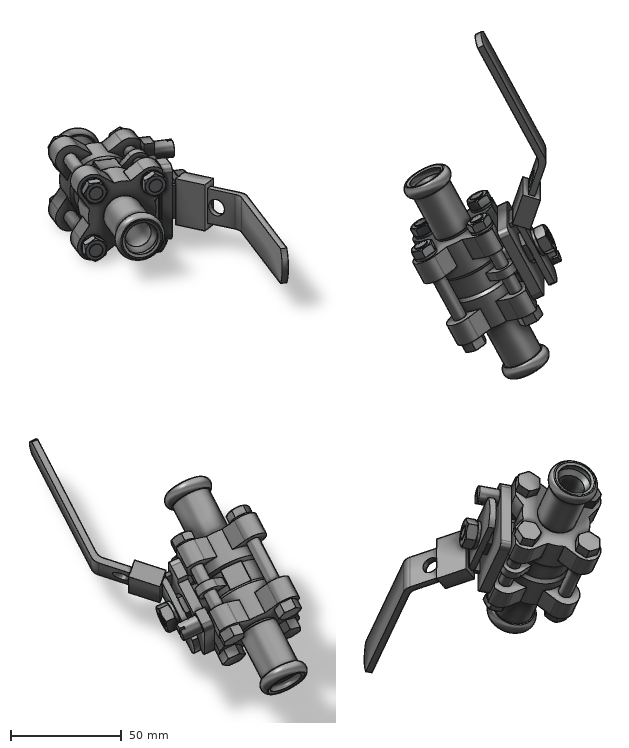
import math

import cadquery as cq


tube_half_length = 52.0
tube_dia = 18.41
bead_width = 6.0
bead_dia = 23.0
bead_side_dia = 19.8
mouth_dia = 18.41
lip_dia = 15.6
lip_depth = 0.5
groove_dia = 18.0
groove_end_dia = 17.18
groove_end_depth = 4.0
taper_end_depth = 5.9
bore_dia = 12.5
neck_dia = 17.18
neck_length = 1.1

cap_end = 22.2
cap_inner = 4.9
boss_thickness = 10.8
cap_dia = 32.0
bolt_circle_radius = 20.0
bolt_offset = bolt_circle_radius / math.sqrt(2)
boss_radius = 7.0
cap_top_flat = 19.1
arm_taper = 10.0
arm_root = 12.0

centre_radius = 14.5
cap_chamfer = cap_dia / 2 - centre_radius
pad_side = 10.5
pad_top = 14.9
lug_width = 4.2
lug_radius = 5.5
lug_taper = 0.0

bolt_dia = 6.35
bolt_head_height = 5.0
bolt_hex = 10.0
bolt_washer_dia = 10.8
bolt_washer_thickness = 1.2
bolt_nut_height = 4.2
bolt_tip = 0.5
hex_chamfer_angle = 30.0
bolt_head_face_dia = 10.8
bolt_nut_face_dia = 9.6

collar_dia = 17.18
collar_base = 13.0
plate_bottom = 19.9
plate_thickness = 5.0
plate_top = plate_bottom + plate_thickness
plate_side = 37.0
plate_corner_radius = 3.0
notch_floor = 12.5

stem_dia = 9.0
stem_tip_dia = 7.0
stem_tip_flats = 5.0
stem_tip_top = 37.5
lower_nut_hex = 14.0
upper_nut_hex = 12.0
upper_nut_height = 5.2
washer_dia = 12.8
washer_thickness = 1.4

stop_offset = 12.8
stop_dia = 8.3
stop_top = 34.4
stop_shank_dia = 5.0
stop_shank_bottom = 19.3
slot_width = 1.0
slot_depth = 2.3

lever_thickness = 3.0
lever_width = 17.2
lever_low = 27.6
lever_high = 51.0
lever_left = -20.0
lever_right = 101.95
lever_rise_start = 14.0
lever_slope = 45.0
lever_bend_radius = 6.0
lever_end_radius = 16.0
lock_hole_dia = 8.0
lock_hole_offset = 12.0
sleeve_length = 15.0
sleeve_thickness = 8.4
sleeve_width = 22.8
sleeve_x = 19.4
lock_tab_x = 15.9
lock_tab_thickness = 2.0
lock_tab_width = 16.4
lock_tab_bottom = 19.4


def disc_x(dia, start, end):
    """Cylinder along X."""
    return cq.Workplane("YZ", origin=(start, 0, 0)).circle(dia / 2).extrude(end - start)


def rod_y(dia, start, end, x=0, z=0):
    """Cylinder along Y."""
    return cq.Workplane("XZ", origin=(x, start, z)).circle(dia / 2).extrude(start - end)


def hexagon(across_flats, height, face_dia, both_ends=False):
    """Hexagon along +Z with corners on X, its far end (or both ends) chamfered to a round face."""
    corner_dia = across_flats / math.cos(math.radians(30))
    inset = (corner_dia - face_dia) / 2
    drop = inset * math.tan(math.radians(hex_chamfer_angle))
    blank = cq.Workplane("XY").circle(corner_dia / 2).extrude(height)
    chamfered_faces = "<Z or >Z" if both_ends else ">Z"
    blank = blank.faces(chamfered_faces).edges().chamfer(drop, inset)
    return cq.Workplane("XY").polygon(6, corner_dia).extrude(height).intersect(blank)


def arm(radius, taper_angle, start, length):
    """Arm in the YZ plane, widening inwards from a bolt boss in the +Y +Z quadrant."""
    taper = math.radians(taper_angle)
    touch = (bolt_circle_radius + radius * math.sin(taper), radius * math.cos(taper))
    root_width = touch[1] + (touch[0] - arm_root) * math.tan(taper)
    web = (
        cq.Workplane("YZ", origin=(start, 0, 0))
        .polyline([(arm_root, -root_width), (touch[0], -touch[1]), touch, (arm_root, root_width)])
        .close()
        .extrude(length)
    )
    boss_plane = cq.Workplane("YZ", origin=(start, bolt_circle_radius, 0))
    boss = boss_plane.circle(radius).extrude(length)
    return web.union(boss).rotate((0, 0, 0), (1, 0, 0), 45)


def tube_end():
    """Beaded tube with its neck, on the -X side."""
    end = -tube_half_length
    bead_end = end + bead_width
    neck_start = -cap_end - neck_length
    profile = (
        cq.Workplane("XY")
        .moveTo(end, 0)
        .lineTo(end, bead_side_dia / 2)
        .threePointArc((end + bead_width / 2, bead_dia / 2), (bead_end, bead_side_dia / 2))
        .lineTo(bead_end, tube_dia / 2)
        .lineTo(neck_start, tube_dia / 2)
        .lineTo(neck_start, neck_dia / 2)
        .lineTo(-cap_end, neck_dia / 2)
        .lineTo(-cap_end, 0)
        .close()
    )
    return profile.revolve(360, (0, 0, 0), (1, 0, 0))


def tube_socket():
    """Lipped mouth with a round groove and a taper down to the bore, cut into the -X tube end."""
    end = -tube_half_length
    lip = end + lip_depth
    groove_end = end + groove_end_depth
    taper_end = end + taper_end_depth
    profile = (
        cq.Workplane("XY")
        .moveTo(end, 0)
        .lineTo(end, mouth_dia / 2)
        .lineTo(lip, lip_dia / 2)
        .threePointArc(((lip + groove_end) / 2, groove_dia / 2), (groove_end, groove_end_dia / 2))
        .lineTo(taper_end, bore_dia / 2)
        .lineTo(taper_end, 0)
        .close()
    )
    return profile.revolve(360, (0, 0, 0), (1, 0, 0))


def end_cap():
    """Round cap with four bolt arms, on the -X side."""
    cap = disc_x(cap_dia, -cap_end, -cap_inner).faces(">X").chamfer(cap_chamfer)
    for quarter in range(4):
        bolt_arm = arm(boss_radius, arm_taper, -cap_end, boss_thickness)
        cap = cap.union(bolt_arm.rotate((0, 0, 0), (1, 0, 0), 90 * quarter))
    trim = cq.Workplane("XY").box(2 * cap_end, cap_dia, 2 * cap_dia)
    return cap.cut(trim.translate((-cap_end, cap_top_flat + cap_dia / 2, 0)))


def centre_body():
    """Centre ring with a pad on its +Z side and the two lugs around the upper bolts."""
    body = disc_x(2 * centre_radius, -cap_inner, cap_inner)
    pad = cq.Workplane("XY").rect(pad_side, pad_side).extrude(pad_top)
    lug = arm(lug_radius, lug_taper, -lug_width / 2, lug_width)
    collar = rod_y(collar_dia, collar_base, plate_bottom)
    return body.union(pad).union(lug).union(lug.mirror("XY")).union(collar)


def cap_bolt(y_side, z_side):
    """Bolt with hexagon head on the -X side, washer and nut on the +X side."""
    turn = 0 if y_side == z_side else 90
    head = hexagon(bolt_hex, bolt_head_height, bolt_head_face_dia)
    nut = hexagon(bolt_hex, bolt_nut_height, bolt_nut_face_dia)
    nut_start = cap_end + bolt_washer_thickness
    nut_end = nut_start + bolt_nut_height
    head = head.rotate((0, 0, 0), (0, 0, 1), turn).rotate((0, 0, 0), (0, 1, 0), -90)
    nut = nut.rotate((0, 0, 0), (0, 0, 1), turn).rotate((0, 0, 0), (0, 1, 0), 90)
    bolt = disc_x(bolt_dia, -cap_end, nut_end + bolt_tip)
    bolt = bolt.union(disc_x(bolt_washer_dia, cap_end, nut_start))
    bolt = bolt.union(head.translate((-cap_end, 0, 0))).union(nut.translate((nut_start, 0, 0)))
    return bolt.translate((0, y_side * bolt_offset, z_side * bolt_offset))


def mounting_plate():
    """Square plate with rounded corners and a notch on its +Z edge."""
    plate = (
        cq.Workplane("XZ", origin=(0, plate_bottom, 0))
        .rect(plate_side, plate_side)
        .extrude(-plate_thickness)
        .edges("|Y")
        .fillet(plate_corner_radius)
    )
    notch = cq.Workplane("XY", origin=(0, 0, notch_floor))
    return plate.cut(notch.rect(collar_dia, 2 * plate_side).extrude(plate_side))


def stem_and_nuts():
    """Stem with the lower nut, the washer and the upper nut that clamp the lever."""
    lever_top = lever_low + lever_thickness
    washer_top = lever_top + washer_thickness
    lower_nut = hexagon(lower_nut_hex, lever_low - plate_top, lower_nut_hex)
    upper_nut = hexagon(upper_nut_hex, upper_nut_height, upper_nut_hex, both_ends=True)
    tip = rod_y(stem_tip_dia, washer_top, stem_tip_top)
    flats = cq.Workplane("XY").box(stem_tip_dia, 2 * stem_tip_top, stem_tip_flats)
    stem = rod_y(stem_dia, collar_base, washer_top).union(tip.intersect(flats))
    stem = stem.union(rod_y(washer_dia, lever_top, washer_top))
    for nut, base in ((lower_nut, plate_top), (upper_nut, washer_top)):
        stem = stem.union(nut.rotate((0, 0, 0), (1, 0, 0), -90).translate((0, base, 0)))
    return stem


def stop_screw():
    """Slotted stop screw standing on a corner of the plate."""
    screw = rod_y(stop_dia, plate_top, stop_top, -stop_offset, stop_offset)
    screw = screw.union(rod_y(stop_shank_dia, stop_shank_bottom, plate_top, -stop_offset, stop_offset))
    slot = cq.Workplane("XY").box(slot_width, 2 * slot_depth, 2 * stop_dia)
    return screw.cut(slot.translate((-stop_offset, stop_top, stop_offset)))


def on_slope(shape):
    """Tilt a shape onto the lever's sloping stretch, with its origin at the sleeve centre."""
    run = sleeve_x - lever_rise_start
    slope = math.radians(lever_slope)
    height = lever_low + run * math.tan(slope) + lever_thickness / 2 / math.cos(slope)
    return shape.rotate((0, 0, 0), (0, 0, 1), lever_slope).translate((sleeve_x, height, 0))


def lever():
    """Cranked flat lever, its ends rounded, with a hole in the sloping stretch."""
    rise = lever_high - lever_low
    rise_end = lever_rise_start + rise / math.tan(math.radians(lever_slope))
    mitre = lever_thickness * math.tan(math.radians(lever_slope / 2))
    bar = (
        cq.Workplane("XY")
        .polyline(
            [
                (lever_left, lever_low),
                (lever_rise_start, lever_low),
                (rise_end, lever_high),
                (lever_right, lever_high),
                (lever_right, lever_high + lever_thickness),
                (rise_end - mitre, lever_high + lever_thickness),
                (lever_rise_start - mitre, lever_low + lever_thickness),
                (lever_left, lever_low + lever_thickness),
            ]
        )
        .close()
        .extrude(lever_width / 2, both=True)
    )
    nearest = cq.selectors.NearestToPointSelector
    inner_corner = (rise_end, lever_high, 0)
    bar = bar.edges(nearest(inner_corner)).fillet(lever_bend_radius)
    outer_corner = (rise_end - mitre, lever_high + lever_thickness, 0)
    bar = bar.edges(nearest(outer_corner)).fillet(lever_bend_radius)
    half = lever_width / 2
    sagitta = lever_end_radius - math.sqrt(lever_end_radius**2 - half**2)
    outline = (
        cq.Workplane("XZ")
        .moveTo(lever_left + sagitta, -half)
        .lineTo(lever_right - sagitta, -half)
        .threePointArc((lever_right, 0), (lever_right - sagitta, half))
        .lineTo(lever_left + sagitta, half)
        .threePointArc((lever_left, 0), (lever_left + sagitta, -half))
        .close()
        .extrude(-2 * lever_high)
    )
    hole = (
        cq.Workplane("XZ")
        .circle(lock_hole_dia / 2)
        .extrude(lever_thickness, both=True)
        .translate((lock_hole_offset, 0, 0))
    )
    return bar.intersect(outline).cut(on_slope(hole))


def lock():
    """Sliding lock sleeve around the lever, with its tab reaching through the plate."""
    sleeve = on_slope(cq.Workplane("XY").box(sleeve_length, sleeve_thickness, sleeve_width))
    tab_height = lever_low - lock_tab_bottom
    tab = cq.Workplane("XY").box(lock_tab_thickness, tab_height, lock_tab_width)
    return sleeve.union(tab.translate((lock_tab_x, lock_tab_bottom + tab_height / 2, 0)))


result = centre_body()
for side_part in (end_cap(), tube_end()):
    result = result.union(side_part).union(side_part.mirror("YZ"))
result = result.cut(disc_x(bore_dia, -tube_half_length, tube_half_length))
result = result.cut(tube_socket()).cut(tube_socket().mirror("YZ"))
for y_side in (-1, 1):
    for z_side in (-1, 1):
        result = result.union(cap_bolt(y_side, z_side))
for top_part in (mounting_plate(), stem_and_nuts(), stop_screw(), lever(), lock()):
    result = result.union(top_part)